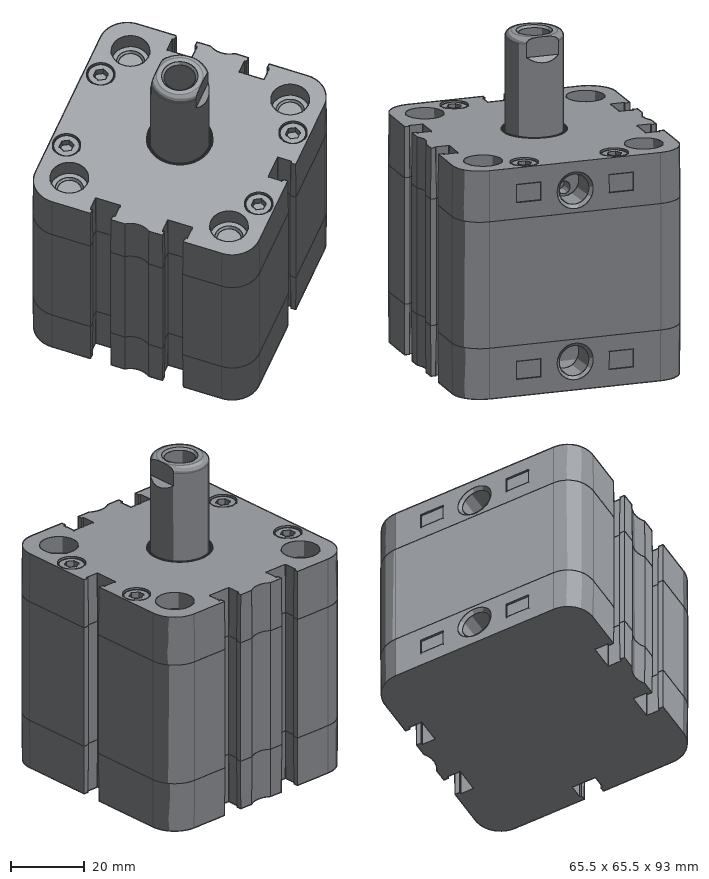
import cadquery as cq
import math

WIDTH = 65.5
CORNER_RADIUS = 8.0
BODY_HEIGHT = 65.0
TOTAL_HEIGHT = 93.0
CAP_HEIGHT = 14.5
BARREL_HEIGHT = BODY_HEIGHT - 2 * CAP_HEIGHT
TOP_CAP_BASE = BODY_HEIGHT - CAP_HEIGHT
CAP_DRAFT = 0.5

SLOT_OFFSET = 10.5
SLOT_NECK_WIDTH = 5.8
SLOT_WIDTH = 7.0
SLOT_DEPTH = 5.5
SLOT_LIP = 1.7
GROOVE_WIDTH = 6.9
GROOVE_DEPTH = 1.1

ROD_DIAMETER = 16.0
ROD_EDGE_RADIUS = 1.7
FLAT_WIDTH = 13.0
FLAT_HEIGHT = 5.5
FLAT_RUNOUT_ANGLE = 45
ROD_HOLE_DIAMETER = 8.6
ROD_HOLE_MOUTH = 9.9
ROD_HOLE_DEPTH = 18.6
DRILL_POINT_ANGLE = 118

WIPER_SEAT = 18.0
WIPER_OUTER = 17.7
WIPER_INNER = 16.6
WIPER_CHAMFER = 0.2
WIPER_GAP_DEPTH = 0.9
WIPER_BORE_DEPTH = 1.9

MOUNT_OFFSET = 23.25
MOUNT_BORE = 10.5
MOUNT_BORE_DEPTH = 4.9
MOUNT_HOLE_MOUTH = 7.7
MOUNT_HOLE = 6.6

SCREW_X = 28.0
SCREW_Y = 13.0
SCREW_RECESS = 7.7
SCREW_HEAD = 7.5
SCREW_SINK = 0.4
SCREW_GAP_DEPTH = 0.9
SCREW_CHAMFER = 0.3
SOCKET_FLATS = 3.5
SOCKET_DEPTH = 1.95
HEX_TURN = 30

PORT_INSET = 8.1
PORT_MOUTH = 10.5
PORT_DIAMETER = 8.6
PORT_DEPTH = 9.0
PORT_END_RADIUS = 24.2
AIR_HOLE_DIAMETER = 3.5
AIR_HOLE_OFFSET = 1.9
AIR_HOLE_DEPTH = 4.65

LABEL_OFFSET = 13.4
LABEL_INSET = 7.35
LABEL_WIDTH = 7.1
LABEL_HEIGHT = 5.1
LABEL_DEPTH = 0.6


def disc(diameter, height, base=0.0):
    """Solid cylinder along Z."""
    return cq.Workplane("XY").workplane(offset=base).circle(diameter / 2).extrude(height)


def cone(bottom_diameter, top_diameter, height, base):
    """Solid cone frustum along Z."""
    start = cq.Vector(0, 0, base)
    return cq.Workplane(cq.Solid.makeCone(bottom_diameter / 2, top_diameter / 2, height, start))


def slot_cutter(height):
    """T-slot open toward +X, centred on the X axis, in a face at half the body width."""
    neck = cq.Workplane("XY").box(SLOT_DEPTH, SLOT_NECK_WIDTH, height, centered=(False, True, False))
    pocket_depth = SLOT_DEPTH - SLOT_LIP
    pocket = cq.Workplane("XY").box(pocket_depth, SLOT_WIDTH, height, centered=(False, True, False))
    return neck.union(pocket).translate((WIDTH / 2 - SLOT_DEPTH, 0, 0))


def groove_cutter(height):
    """Round-bottomed groove along Z in the +X face."""
    half = GROOVE_WIDTH / 2
    radius = (half**2 + GROOVE_DEPTH**2) / (2 * GROOVE_DEPTH)
    return disc(2 * radius, height).translate((WIDTH / 2 - GROOVE_DEPTH + radius, 0, 0))


def profile_block(height):
    """Length of the outer profile, standing on Z = 0."""
    block = cq.Workplane("XY").rect(WIDTH, WIDTH).extrude(height).edges("|Z").fillet(CORNER_RADIUS)
    block = block.cut(slot_cutter(height))
    for turn in (90, -90):
        for offset in (-SLOT_OFFSET, SLOT_OFFSET):
            slot = slot_cutter(height).translate((0, offset, 0))
            block = block.cut(slot.rotate((0, 0, 0), (0, 0, 1), turn))
        block = block.cut(groove_cutter(height).rotate((0, 0, 0), (0, 0, 1), turn))
    return block


def drafted_cap():
    """Cap with the full profile at Z = 0, narrowing upward by the draft."""
    profile = profile_block(CAP_HEIGHT).faces("<Z").wires().vals()
    return cq.Workplane("XY").newObject(profile).toPending().extrude(CAP_HEIGHT, taper=CAP_DRAFT)


def port_cutter(height):
    """Countersunk port bored from the -X face at the given height."""
    bore = disc(PORT_DIAMETER, PORT_DEPTH)
    chamfer = (PORT_MOUTH - PORT_DIAMETER) / 2
    mouth = cone(PORT_MOUTH, PORT_DIAMETER, chamfer, 0)
    cutter = bore.union(mouth)
    return cutter.rotate((0, 0, 0), (0, 1, 0), 90).translate((-WIDTH / 2, 0, height))


def curved_end_port_cutter(height):
    """Port whose end wall is hollowed to a cylinder about an axis along Y."""
    end_wall = disc(2 * PORT_END_RADIUS, WIDTH, -WIDTH / 2).rotate((0, 0, 0), (1, 0, 0), 90)
    end_wall = end_wall.translate((-WIDTH / 2 + PORT_DEPTH - PORT_END_RADIUS, 0, height))
    return port_cutter(height).intersect(end_wall)


def cut_labels(cap, height):
    """Cut one shallow rectangular field on each side of a port."""
    for side in (-LABEL_OFFSET, LABEL_OFFSET):
        field = cq.Workplane("XY").box(2 * LABEL_DEPTH, LABEL_WIDTH, LABEL_HEIGHT)
        cap = cap.cut(field.translate((-WIDTH / 2, side, height)))
    return cap


def make_bottom_cap():
    cap = drafted_cap().mirror("XY").translate((0, 0, CAP_HEIGHT))
    cap = cap.cut(curved_end_port_cutter(PORT_INSET))
    return cut_labels(cap, LABEL_INSET)


def make_barrel():
    return profile_block(BARREL_HEIGHT).translate((0, 0, CAP_HEIGHT))


def mount_hole_cutter():
    """Stepped blind corner hole with a tapered seat."""
    floor = BODY_HEIGHT - MOUNT_BORE_DEPTH
    chamfer = (MOUNT_HOLE_MOUTH - MOUNT_HOLE) / 2
    cutter = disc(MOUNT_BORE, MOUNT_BORE_DEPTH, floor)
    return cutter.union(cone(MOUNT_HOLE, MOUNT_HOLE_MOUTH, chamfer, floor - chamfer))


def screw_cutter():
    """Everything removed around and inside one sunk socket screw head."""
    base = BODY_HEIGHT - SCREW_GAP_DEPTH
    head = disc(SCREW_HEAD, SCREW_GAP_DEPTH - SCREW_SINK, base).faces(">Z").chamfer(SCREW_CHAMFER)
    socket = (
        cq.Workplane("XY")
        .workplane(offset=BODY_HEIGHT - SCREW_SINK - SOCKET_DEPTH)
        .polygon(6, SOCKET_FLATS / math.cos(math.pi / 6))
        .extrude(SOCKET_DEPTH)
        .rotate((0, 0, 0), (0, 0, 1), HEX_TURN)
    )
    return disc(SCREW_RECESS, SCREW_GAP_DEPTH, base).cut(head).union(socket)


def rod_opening_cutter():
    """Rod bore through the top cap with the gaps around the wiper ring at its mouth."""
    gap_base = BODY_HEIGHT - WIPER_GAP_DEPTH
    wiper = disc(WIPER_OUTER, WIPER_GAP_DEPTH, gap_base).cut(disc(WIPER_INNER, WIPER_GAP_DEPTH, gap_base))
    wiper = wiper.faces(">Z").edges().chamfer(WIPER_CHAMFER)
    seat = disc(WIPER_SEAT, WIPER_GAP_DEPTH, gap_base).cut(wiper)
    clearance = disc(WIPER_INNER, WIPER_BORE_DEPTH, BODY_HEIGHT - WIPER_BORE_DEPTH)
    return disc(ROD_DIAMETER, CAP_HEIGHT, TOP_CAP_BASE).union(clearance).union(seat)


def make_top_cap():
    cap = drafted_cap().translate((0, 0, TOP_CAP_BASE))
    port_height = BODY_HEIGHT - PORT_INSET
    cap = cap.cut(port_cutter(port_height))
    air_hole = disc(AIR_HOLE_DIAMETER, PORT_DEPTH + AIR_HOLE_DEPTH).rotate((0, 0, 0), (0, 1, 0), 90)
    cap = cap.cut(air_hole.translate((-WIDTH / 2, 0, port_height - AIR_HOLE_OFFSET)))
    cap = cut_labels(cap, BODY_HEIGHT - LABEL_INSET)
    for x_side in (-1, 1):
        for y_side in (-1, 1):
            mount_hole = mount_hole_cutter().translate((x_side * MOUNT_OFFSET, y_side * MOUNT_OFFSET, 0))
            screw = screw_cutter().translate((x_side * SCREW_X, y_side * SCREW_Y, 0))
            cap = cap.cut(mount_hole).cut(screw)
    return cap.cut(rod_opening_cutter())


def flat_cutter():
    """Wrench flat on the +X side of the rod tip with a sloped run-out."""
    inner = FLAT_WIDTH / 2
    reach = ROD_DIAMETER / 2 - inner
    shelf = TOTAL_HEIGHT - FLAT_HEIGHT
    slope_drop = reach * math.tan(math.radians(FLAT_RUNOUT_ANGLE))
    return (
        cq.Workplane("XZ")
        .moveTo(inner, TOTAL_HEIGHT)
        .lineTo(inner, shelf)
        .lineTo(inner + reach, shelf - slope_drop)
        .lineTo(inner + reach, TOTAL_HEIGHT)
        .close()
        .extrude(ROD_DIAMETER / 2, both=True)
    )


def make_rod():
    rod = disc(ROD_DIAMETER, TOTAL_HEIGHT - TOP_CAP_BASE, TOP_CAP_BASE)
    rod = rod.faces(">Z").edges().fillet(ROD_EDGE_RADIUS)
    for turn in (0, 180):
        rod = rod.cut(flat_cutter().rotate((0, 0, 0), (0, 0, 1), turn))
    hole_floor = TOTAL_HEIGHT - ROD_HOLE_DEPTH
    point_height = ROD_HOLE_DIAMETER / 2 / math.tan(math.radians(DRILL_POINT_ANGLE / 2))
    chamfer = (ROD_HOLE_MOUTH - ROD_HOLE_DIAMETER) / 2
    rod = rod.cut(disc(ROD_HOLE_DIAMETER, ROD_HOLE_DEPTH, hole_floor))
    rod = rod.cut(cone(0, ROD_HOLE_DIAMETER, point_height, hole_floor - point_height))
    return rod.cut(cone(ROD_HOLE_DIAMETER, ROD_HOLE_MOUTH, chamfer, TOTAL_HEIGHT - chamfer))


bottom_cap = make_bottom_cap()
barrel = make_barrel()
top_cap = make_top_cap()
piston_rod = make_rod()

result = cq.Compound.makeCompound([bottom_cap.val(), barrel.val(), top_cap.val(), piston_rod.val()])